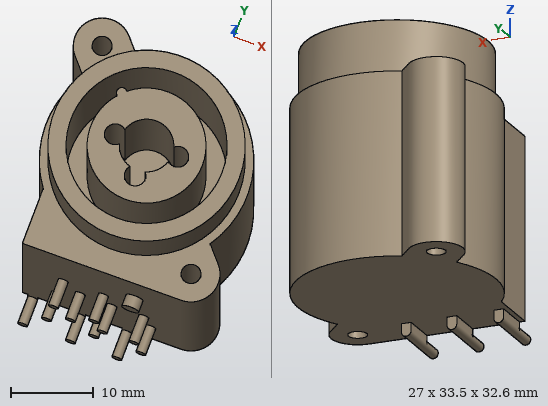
import cadquery as cq
import math


housing_height = 23.9
housing_radius = 13.0
rear_face_y = -15.0
left_side_x = -10.5

ear_radius = 3.5
ear_x = 10.0
ear_y = -rear_face_y - ear_radius
screw_hole_radius = 1.2
ear_centres = [(-ear_x, ear_y), (ear_x, -ear_y)]

collar_height = 7.0
collar_radius = 11.95
recess_radius = 9.75
core_radius = 7.2
key_radius = 0.65
key_centre = (-5.1, 5.15)
total_height = housing_height + collar_height

socket_depth = 15.0
socket_floor = total_height - socket_depth

jack_radius = 3.3
contact_radius = 1.3
contact_offset = 4.05
lower_contact_offset = 4.0
contact_centres = [
    (-contact_offset, 0),
    (contact_offset, 0),
    (0, -lower_contact_offset),
]

pin_radius = 0.64
pin_length = 3.5
top_row_z = 12.85
middle_row_z = 9.45
bottom_row_z = 5.55
outer_pin_x = 5.2
inner_pin_x = 3.0
bottom_pin_x = 6.1
offset_pin = (1.1, 9.2)
rear_pins = [
    (-outer_pin_x, top_row_z),
    (0, top_row_z),
    (-inner_pin_x, middle_row_z),
    offset_pin,
    (outer_pin_x, middle_row_z),
    (-bottom_pin_x, bottom_row_z),
    (0, bottom_row_z),
    (bottom_pin_x, bottom_row_z),
]

peg_centre = (4.0, 16.95)
peg_radius = 1.1
peg_length = 1.5

far_under_pin_x = -9.15
under_pin_x = [far_under_pin_x, -inner_pin_x, inner_pin_x]
under_pin_drop = 1.7
under_pin_z = pin_radius - under_pin_drop
web_length = 5.0


def disc(centre, radius, bottom, height):
    """Upright cylinder standing on the plane Z = bottom."""
    return cq.Workplane("XY", origin=(*centre, bottom)).circle(radius).extrude(height)


def rear_cylinder(centre, radius, length, start_y=rear_face_y):
    """Cylinder running toward -Y from start_y, at an (x, z) centre."""
    x, z = centre
    return cq.Workplane("XZ", origin=(x, start_y, z)).circle(radius).extrude(length)


def ears():
    """Two round ears joined by a straight band that runs tangent to both."""
    span = 2 * math.hypot(ear_x, ear_y)
    angle = math.degrees(math.atan2(-ear_y, ear_x))
    return (
        cq.Workplane("XY")
        .transformed(rotate=(0, 0, angle))
        .slot2D(span + 2 * ear_radius, 2 * ear_radius)
        .extrude(housing_height)
    )


def housing():
    """Round barrel with a square rear block and two mounting ears."""
    barrel = disc((0, 0), housing_radius, 0, housing_height)
    rear_block = (
        cq.Workplane("XY")
        .moveTo(left_side_x, 0)
        .lineTo(left_side_x, rear_face_y)
        .lineTo(ear_x, rear_face_y)
        .lineTo(ear_x, -ear_y)
        .lineTo(0, 0)
        .close()
        .extrude(housing_height)
    )
    body = barrel.union(rear_block).union(ears())
    for centre in ear_centres:
        body = body.cut(disc(centre, screw_hole_radius, 0, housing_height))
    return body


def socket_recess():
    """Annular recess around the keyed core, which stays flush with the collar."""
    recess = disc((0, 0), recess_radius, socket_floor, socket_depth)
    core = disc((0, 0), core_radius, socket_floor, socket_depth)
    key = disc(key_centre, key_radius, socket_floor, socket_depth)
    return recess.cut(core).cut(key)


def core_opening():
    """Jack bore overlapped by the three contact holes."""
    opening = disc((0, 0), jack_radius, socket_floor, socket_depth)
    for centre in contact_centres:
        opening = opening.union(disc(centre, contact_radius, socket_floor, socket_depth))
    return opening


def under_pin(x):
    """Pin below the housing; its web stops at the rear face."""
    start_y = rear_face_y + web_length
    pin = rear_cylinder((x, under_pin_z), pin_radius, web_length + pin_length, start_y)
    web = cq.Workplane("XY").box(
        2 * pin_radius, web_length, -under_pin_z, centered=(True, False, False)
    )
    return pin.union(web.translate((x, rear_face_y, under_pin_z)))


collar = disc((0, 0), collar_radius, housing_height, collar_height)
result = housing().union(collar)
result = result.cut(socket_recess()).cut(core_opening())
for pin_centre in rear_pins:
    result = result.union(rear_cylinder(pin_centre, pin_radius, pin_length))
result = result.union(rear_cylinder(peg_centre, peg_radius, peg_length))
for pin_x in under_pin_x:
    result = result.union(under_pin(pin_x))